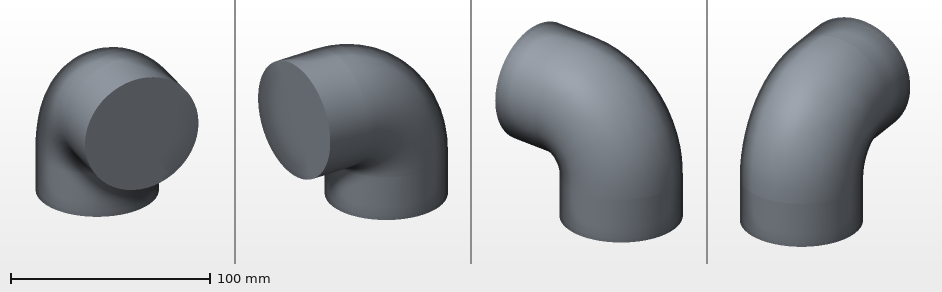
import cadquery as cq

outer_diameter = 62.0
overall_length = 88.0
straight_length = 24.0

outer_radius = outer_diameter / 2
bend_radius = overall_length - straight_length - outer_radius
bend_angle = 90.0


def lower_collar():
    """Vertical cylinder rising from the bottom end face."""
    return cq.Workplane("XY").circle(outer_radius).extrude(straight_length)


def bend():
    """Quarter torus turning from +Z to +X about an axis parallel to Y."""
    return (
        cq.Workplane("XY", origin=(0, 0, straight_length))
        .circle(outer_radius)
        .revolve(bend_angle, (bend_radius, 0), (bend_radius, 1))
    )


def side_collar():
    """Horizontal cylinder running from the bend to the +X end face."""
    return (
        cq.Workplane("YZ", origin=(bend_radius, 0, straight_length + bend_radius))
        .circle(outer_radius)
        .extrude(straight_length)
    )


result = lower_collar().union(bend()).union(side_collar())